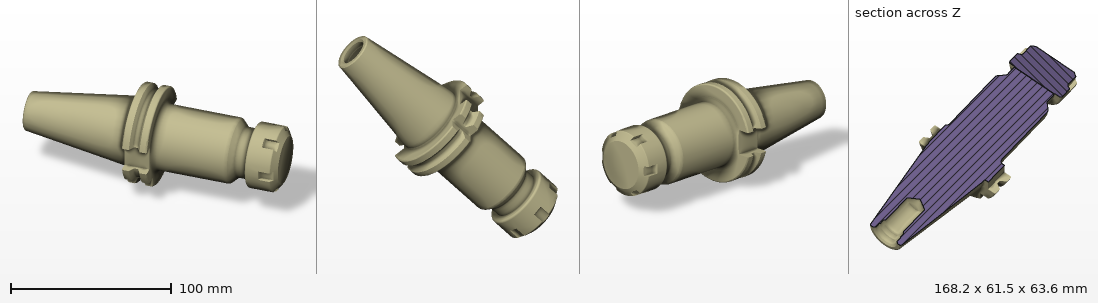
import cadquery as cq
import math

TOTAL_LENGTH = 168.2

SMALL_END_RADIUS = 12.5
SMALL_END_CHAMFER = 0.7
TAPER_END_X = 68.1
TAPER_END_ROUNDING = 5.0
COLLAR_RADIUS = 22.2
COLLAR_ROOT_FILLET = 0.8

FLANGE_START_X = 71.0
FLANGE_END_X = 87.3
FLANGE_WIDTH = FLANGE_END_X - FLANGE_START_X
FLANGE_RADIUS = 31.8
FLANGE_EDGE_FILLET = 1.0
GROOVE_CENTRE_X = 79.2
GROOVE_FLOOR_WIDTH = 2.7
GROOVE_FLOOR_RADIUS = 28.1
GROOVE_FLANK_ANGLE = 30.0
GROOVE_ROOT_FILLET = 0.8

SLOT_WIDTH = 16.2
FRONT_SLOT_FLOOR = 25.0
BACK_SLOT_FLOOR = 22.5
NOTCH_OFFSET = 18.7
NOTCH_CORNER_FILLET = 0.8

BODY_RADIUS = 21.0
BODY_ROOT_FILLET = 2.5
BODY_END_X = 135.6
BODY_CORNER_FILLET = 2.9
NECK_RADIUS = 16.2
NECK_FILLET = 0.8

BORE_MOUTH_RADIUS = 9.6
COUNTERBORE_RADIUS = 8.4
COUNTERBORE_DEPTH = 4.5
RELIEF_RADIUS = 7.9
RELIEF_DEPTH = 8.0
BORE_RADIUS = 6.9
BORE_DEPTH = 30.3
DRILL_POINT_ANGLE = 118.0

NUT_START_X = 148.0
NUT_RADIUS = BODY_RADIUS
NUT_BACK_FILLET = 1.3
NUT_CONE_START_X = 164.5
NUT_CONE_FILLET = 0.7
NUT_FACE_RADIUS = 15.5
WRENCH_SLOTS = 6
WRENCH_SLOT_WIDTH = 6.4
WRENCH_SLOT_START_X = 157.0
WRENCH_SLOT_FLOOR = 18.2
WRENCH_SLOT_END_ANGLE = 70.0
WRENCH_SLOT_FILLET = 1.5


def revolve_about_x(points):
    """Revolve a closed (x, radius) outline about the X axis."""
    return cq.Workplane("XY").polyline(points).close().revolve(360, (0, 0, 0), (1, 0, 0))


def ring_edge(x, radius):
    """Selector box for the circular edge of the given radius at x."""
    reach = radius + 0.02
    return cq.selectors.BoxSelector((x - 0.02, -reach, -reach), (x + 0.02, reach, reach), boundingbox=True)


def make_shank():
    """Taper and collar, up to the flange."""
    slope = (COLLAR_RADIUS - SMALL_END_RADIUS) / TAPER_END_X
    chamfer_radius = SMALL_END_RADIUS + slope * SMALL_END_CHAMFER
    shank = revolve_about_x([
        (0, 0),
        (0, SMALL_END_RADIUS - SMALL_END_CHAMFER),
        (SMALL_END_CHAMFER, chamfer_radius),
        (TAPER_END_X, COLLAR_RADIUS),
        (FLANGE_START_X, COLLAR_RADIUS),
        (FLANGE_START_X, 0),
    ])
    return shank.edges(ring_edge(TAPER_END_X, COLLAR_RADIUS)).fillet(TAPER_END_ROUNDING)


def make_flange():
    """Flange disc with rounded rims and a V-groove around it."""
    disc = cq.Workplane("YZ", origin=(FLANGE_START_X, 0, 0)).circle(FLANGE_RADIUS).extrude(FLANGE_WIDTH)
    disc = disc.edges().fillet(FLANGE_EDGE_FILLET)

    floor_half = GROOVE_FLOOR_WIDTH / 2
    flank = (FLANGE_RADIUS - GROOVE_FLOOR_RADIUS) * math.tan(math.radians(GROOVE_FLANK_ANGLE))
    groove = revolve_about_x([
        (GROOVE_CENTRE_X - floor_half, GROOVE_FLOOR_RADIUS),
        (GROOVE_CENTRE_X - floor_half - flank, FLANGE_RADIUS),
        (GROOVE_CENTRE_X + floor_half + flank, FLANGE_RADIUS),
        (GROOVE_CENTRE_X + floor_half, GROOVE_FLOOR_RADIUS),
    ])
    for x in (GROOVE_CENTRE_X - floor_half, GROOVE_CENTRE_X + floor_half):
        groove = groove.edges(ring_edge(x, GROOVE_FLOOR_RADIUS)).fillet(GROOVE_ROOT_FILLET)
    return disc.cut(groove)


def flange_cutter(y_min, y_max, z_min, z_max):
    """Block that cuts through the flange and the fillets at both of its faces."""
    length = COLLAR_ROOT_FILLET + FLANGE_WIDTH + BODY_ROOT_FILLET
    return cq.Workplane("XY", origin=(FLANGE_START_X - COLLAR_ROOT_FILLET, y_min, z_min)).box(
        length, y_max - y_min, z_max - z_min, centered=False)


def make_drive_slots():
    """Cutters for the two drive slots, which differ in depth."""
    half = SLOT_WIDTH / 2
    front_slot = flange_cutter(-FLANGE_RADIUS, -FRONT_SLOT_FLOOR, -half, half)
    back_slot = flange_cutter(BACK_SLOT_FLOOR, FLANGE_RADIUS, -half, half)
    return front_slot.add(back_slot).combine()


def make_notch():
    """Cutter for the orientation notch, with its inner corner rounded."""
    notch = flange_cutter(-FLANGE_RADIUS, -NOTCH_OFFSET, -FLANGE_RADIUS, -NOTCH_OFFSET)
    return notch.edges("|X").edges(">Y").edges(">Z").fillet(NOTCH_CORNER_FILLET)


def make_body():
    """Cylindrical body with its conical shoulder and neck."""
    shoulder_x = BODY_END_X + BODY_RADIUS - NECK_RADIUS
    body = revolve_about_x([
        (FLANGE_START_X, 0),
        (FLANGE_START_X, BODY_RADIUS),
        (BODY_END_X, BODY_RADIUS),
        (shoulder_x, NECK_RADIUS),
        (NUT_START_X, NECK_RADIUS),
        (NUT_START_X, 0),
    ])
    body = body.edges(ring_edge(BODY_END_X, BODY_RADIUS)).fillet(BODY_CORNER_FILLET)
    return body.edges(ring_edge(shoulder_x, NECK_RADIUS)).fillet(NECK_FILLET)


def make_root_fillet(face_x, radius, size, direction):
    """Ring that fillets a flange face into a cylinder running along +X (1) or -X (-1)."""
    inset = size * (1 - math.sqrt(0.5))
    return (
        cq.Workplane("XY")
        .moveTo(face_x, 0)
        .lineTo(face_x, radius + size)
        .threePointArc((face_x + direction * inset, radius + inset), (face_x + direction * size, radius))
        .lineTo(face_x + direction * size, 0)
        .close()
        .revolve(360, (0, 0, 0), (1, 0, 0))
    )


def make_bore():
    """Stepped drawbar bore with a countersunk mouth and a drill point."""
    mouth = BORE_MOUTH_RADIUS - COUNTERBORE_RADIUS
    counterbore_step = COUNTERBORE_RADIUS - RELIEF_RADIUS
    relief_step = RELIEF_RADIUS - BORE_RADIUS
    point = BORE_RADIUS / math.tan(math.radians(DRILL_POINT_ANGLE / 2))
    return revolve_about_x([
        (0, 0),
        (0, BORE_MOUTH_RADIUS),
        (mouth, COUNTERBORE_RADIUS),
        (COUNTERBORE_DEPTH, COUNTERBORE_RADIUS),
        (COUNTERBORE_DEPTH + counterbore_step, RELIEF_RADIUS),
        (RELIEF_DEPTH, RELIEF_RADIUS),
        (RELIEF_DEPTH + relief_step, BORE_RADIUS),
        (BORE_DEPTH, BORE_RADIUS),
        (BORE_DEPTH + point, 0),
    ])


def make_holder():
    """Tool holder: shank, flange and body in one piece."""
    holder = make_shank().union(make_flange()).union(make_body())
    holder = holder.union(make_root_fillet(FLANGE_START_X, COLLAR_RADIUS, COLLAR_ROOT_FILLET, -1))
    holder = holder.union(make_root_fillet(FLANGE_END_X, BODY_RADIUS, BODY_ROOT_FILLET, 1))
    return holder.cut(make_drive_slots()).cut(make_notch()).cut(make_bore())


def make_wrench_slot():
    """Cutter for one wrench slot on the -Y side of the nut."""
    run = (NUT_RADIUS - WRENCH_SLOT_FLOOR) / math.tan(math.radians(WRENCH_SLOT_END_ANGLE))
    floor_start_x = WRENCH_SLOT_START_X + run
    slot = (
        cq.Workplane("XY")
        .polyline([
            (WRENCH_SLOT_START_X, -NUT_RADIUS),
            (floor_start_x, -WRENCH_SLOT_FLOOR),
            (TOTAL_LENGTH, -WRENCH_SLOT_FLOOR),
            (TOTAL_LENGTH, -NUT_RADIUS),
        ])
        .close()
        .extrude(WRENCH_SLOT_WIDTH / 2, both=True)
    )
    return slot.edges("|Z").edges(">Y").edges("<X").fillet(WRENCH_SLOT_FILLET)


def make_nut():
    """Clamping nut seated on the end of the neck."""
    nut = revolve_about_x([
        (NUT_START_X, 0),
        (NUT_START_X, NUT_RADIUS),
        (NUT_CONE_START_X, NUT_RADIUS),
        (TOTAL_LENGTH, NUT_FACE_RADIUS),
        (TOTAL_LENGTH, 0),
    ])
    nut = nut.edges(ring_edge(NUT_START_X, NUT_RADIUS)).fillet(NUT_BACK_FILLET)
    nut = nut.edges(ring_edge(NUT_CONE_START_X, NUT_RADIUS)).fillet(NUT_CONE_FILLET)
    slot = make_wrench_slot()
    for index in range(WRENCH_SLOTS):
        nut = nut.cut(slot.rotate((0, 0, 0), (1, 0, 0), index * 360 / WRENCH_SLOTS))
    return nut


holder = make_holder()
nut = make_nut()
result = cq.Compound.makeCompound([holder.val(), nut.val()])